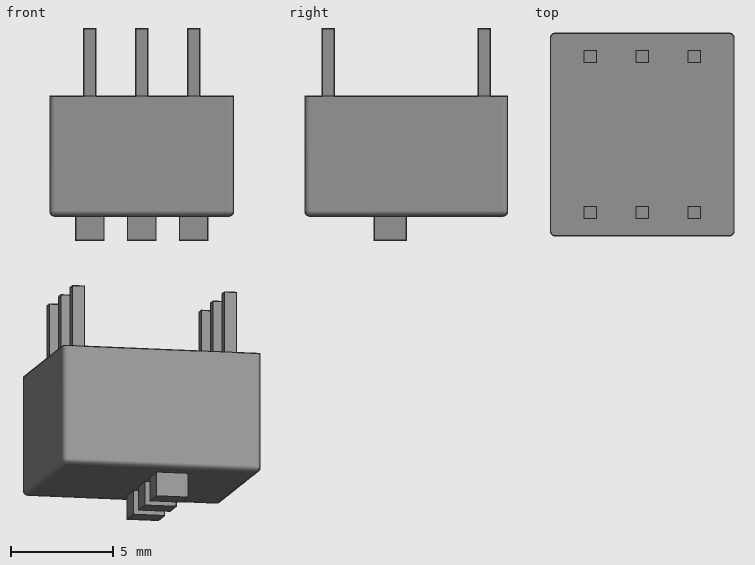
import cadquery as cq

HOUSING_X = 8.98
HOUSING_Y = 9.9
EDGE_RADIUS = 0.25

OVERALL_Z = 10.35
PIN_LENGTH = 3.3
SLIDER_HEIGHT = 1.18
HOUSING_Z = OVERALL_Z - PIN_LENGTH - SLIDER_HEIGHT

POLE_COUNT = 3
POLE_PITCH = 2.54
ROW_SPACING = 7.62
PIN_WIDTH = 0.6

SLIDER_X = 1.4
SLIDER_Y = 1.57

POLE_POSITIONS = [(i - (POLE_COUNT - 1) / 2) * POLE_PITCH for i in range(POLE_COUNT)]


def make_housing():
    """Rounded block, underside at Z = 0, with the pins standing on its top face."""
    block = (
        cq.Workplane("XY")
        .box(HOUSING_X, HOUSING_Y, HOUSING_Z, centered=(True, True, False))
        .edges("|Z or <Z")
        .fillet(EDGE_RADIUS)
    )
    pin_points = [(x, side * ROW_SPACING / 2) for x in POLE_POSITIONS for side in (-1, 1)]
    pins = (
        cq.Workplane("XY", origin=(0, 0, HOUSING_Z))
        .pushPoints(pin_points)
        .rect(PIN_WIDTH, PIN_WIDTH)
        .extrude(PIN_LENGTH)
    )
    return block.union(pins)


def make_slider(x):
    """Rectangular slider below the housing, with one side on the centre line."""
    return (
        cq.Workplane("XY", origin=(x, -SLIDER_Y / 2, 0))
        .rect(SLIDER_X, SLIDER_Y)
        .extrude(-SLIDER_HEIGHT)
    )


housing = make_housing()
sliders = [make_slider(x) for x in POLE_POSITIONS]

result = cq.Compound.makeCompound([housing.val(), *[slider.val() for slider in sliders]])